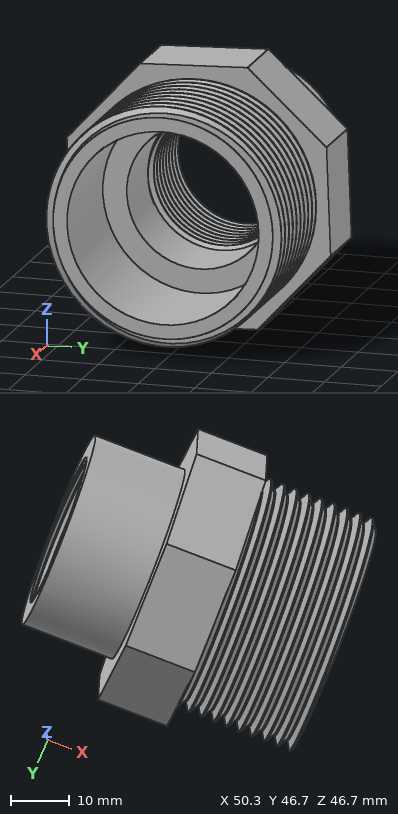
import cadquery as cq
import math


collar_length = 16.3
grip_length = 12.6
spigot_length = 21.4
grip_start = collar_length
spigot_start = grip_start + grip_length

inch = 25.4
outer_pitch = inch / 11
inner_pitch = inch / 14
ridge_height_ratio = 0.64
flank_angle = 60 / 2

inner_thread_root_diameter = 26.44
outer_thread_crest_diameter = 41.91
spigot_core_diameter = 38.9
wall = 4.0
collar_diameter = inner_thread_root_diameter + 2 * wall
spigot_bore_diameter = outer_thread_crest_diameter - 2 * wall
shoulder_step = 0.5
grip_bore_diameter = inner_thread_root_diameter - 2 * shoulder_step
inner_thread_crest_diameter = inner_thread_root_diameter - 2 * ridge_height_ratio * inner_pitch

outer_lead_in = outer_pitch
inner_lead_in = 1.5 * inner_pitch

grip_sides = 8
grip_across_flats = 46.0
grip_across_corners = grip_across_flats / math.cos(math.pi / grip_sides)
grip_turn = 2.2


def cylinder(start, length, diameter):
    """Solid round bar along X."""
    return cq.Workplane("YZ").workplane(offset=start).circle(diameter / 2).extrude(length)


def make_housing():
    grip = (
        cq.Workplane("YZ")
        .workplane(offset=grip_start)
        .polygon(grip_sides, grip_across_corners)
        .extrude(grip_length)
        .rotate((0, 0, 0), (1, 0, 0), 180 / grip_sides + grip_turn)
    )
    collar = cylinder(0, collar_length, collar_diameter)
    spigot = cylinder(spigot_start, spigot_length, spigot_core_diameter)
    collar_bore = cylinder(0, collar_length, inner_thread_root_diameter)
    grip_bore = cylinder(grip_start, grip_length, grip_bore_diameter)
    spigot_bore = cylinder(spigot_start, spigot_length, spigot_bore_diameter)
    outside = grip.union(collar).union(spigot)
    return outside.cut(collar_bore).cut(grip_bore).cut(spigot_bore)


def make_thread(start, length, pitch, root_diameter, crest_diameter, lead_in):
    """Right-hand ridge with a flat crest, trimmed square at both ends.

    The middle of the ridge lies lead_in before start at the bottom (-Z) of the part.
    """
    root_radius = root_diameter / 2
    crest_radius = crest_diameter / 2
    height = abs(crest_radius - root_radius)
    flank_width = height * math.tan(math.radians(flank_angle))
    crest_width = (pitch - 2 * flank_width) / 2
    base_width = crest_width + 2 * flank_width
    turns = math.ceil((length + lead_in) / pitch) + 1

    corners = [
        (root_radius, -base_width / 2),
        (crest_radius, -crest_width / 2),
        (crest_radius, crest_width / 2),
        (root_radius, base_width / 2),
    ]
    helices = [
        cq.Wire.makeHelix(pitch, turns * pitch, radius, cq.Vector(0, 0, along))
        for radius, along in corners
    ]
    sides = [
        cq.Face.makeRuledSurface(helix, helices[(i + 1) % len(helices)])
        for i, helix in enumerate(helices)
    ]
    ends = [
        cq.Face.makeFromWires(
            cq.Wire.makePolygon(
                [cq.Vector(radius, 0, along + rise) for radius, along in corners], close=True
            )
        )
        for rise in (0, turns * pitch)
    ]
    ridge = cq.Solid.makeSolid(cq.Shell.makeShell(sides + ends))

    ridge = ridge.rotate(cq.Vector(0, 0, 0), cq.Vector(0, 1, 0), 90)
    ridge = ridge.translate(cq.Vector(start - lead_in, 0, 0))
    trim = cylinder(start, length, grip_across_corners)
    return trim.intersect(cq.Workplane(ridge))


housing = make_housing()
outer_thread = make_thread(
    spigot_start,
    spigot_length,
    outer_pitch,
    spigot_core_diameter,
    outer_thread_crest_diameter,
    outer_lead_in,
)
inner_thread = make_thread(
    0,
    collar_length,
    inner_pitch,
    inner_thread_root_diameter,
    inner_thread_crest_diameter,
    inner_lead_in,
)

result = cq.Compound.makeCompound([housing.val(), *outer_thread.vals(), *inner_thread.vals()])